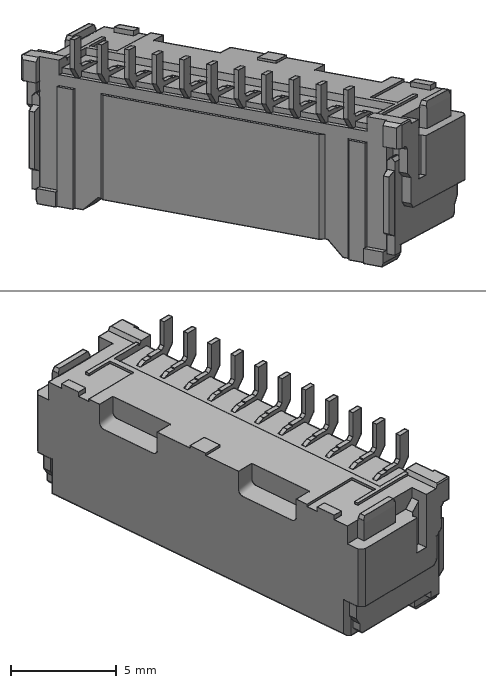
import cadquery as cq


half_length = 10.4
back_y = 6.4
pin_top_z = 8.5

pin_count = 11
pin_pitch = 1.5
pin_width = 0.25
pin_leg_depth = 0.6

core_half = 9.48
core_bottom_z = 0.75
core_back_chamfer = 0.25
core_bottom_chamfer = 0.12
frame_y = 0.37
raised_y = 0.19
pad_y = 0.06

end_deck_z = 6.99
rear_deck_z = 7.11
front_deck_z = 6.75
ledge_z = 6.5
cap_z = 7.22
tab_z = 7.24

well_half = 8.42
ledge_back_y = 0.67
rear_deck_y = 2.93
rear_deck_half = 6.93
deck_strip_y = 3.25
divider_width = 0.2
divider_back_y = 4.72

wall_x = 9.92
wall_top_z = 6.0
plate_bottom_z = 2.77
shoulder_y = 1.85
cap_back_y = 1.16
cap_chamfer = 0.19


def block(x_min, x_max, y_min, y_max, z_min, z_max):
    size = (x_max - x_min, y_max - y_min, z_max - z_min)
    return cq.Workplane("XY").box(*size, centered=False).translate((x_min, y_min, z_min))


def side_prism(outline, x_min, x_max):
    """Extrude a (Y, Z) outline along X."""
    return cq.Workplane("YZ", origin=(x_min, 0, 0)).polyline(outline).close().extrude(x_max - x_min)


def front_prism(outline, y_min, y_max):
    """Extrude an (X, Z) outline along Y."""
    return cq.Workplane("XZ", origin=(0, y_max, 0)).polyline(outline).close().extrude(y_max - y_min)


def plan_prism(outline, z_min, z_max):
    """Extrude an (X, Y) outline along Z."""
    return cq.Workplane("XY", origin=(0, 0, z_min)).polyline(outline).close().extrude(z_max - z_min)


def both_ends(right_half):
    return right_half.union(right_half.mirror("YZ"))


def make_core():
    core = block(-core_half, core_half, frame_y, back_y, core_bottom_z, plate_bottom_z)
    core = core.edges("|Z and >Y").chamfer(core_back_chamfer)
    core = core.faces(">Y").edges("<Z").chamfer(core_bottom_chamfer)
    core = core.union(block(-core_half, core_half, frame_y, back_y, plate_bottom_z, end_deck_z))
    core = core.cut(block(-well_half, well_half, 0, rear_deck_y, front_deck_z, pin_top_z))
    return core.cut(block(-well_half, well_half, 0, ledge_back_y, ledge_z, pin_top_z))


def make_rear_deck():
    """Raised deck behind the pins, with a slightly leaning front face."""
    lean = 0.06

    def slab(half, slab_back_y):
        outline = [
            (rear_deck_y - lean, front_deck_z),
            (rear_deck_y, rear_deck_z),
            (slab_back_y, rear_deck_z),
            (slab_back_y, front_deck_z),
        ]
        return side_prism(outline, -half, half)

    return slab(rear_deck_half, back_y).union(slab(well_half, deck_strip_y))


def make_divider():
    return block(well_half, well_half + divider_width, cap_back_y, divider_back_y, ledge_z, rear_deck_z)


def make_rear_tabs():
    center_half, center_depth = 0.5, 1.0
    end_x_min, end_x_max, end_depth = 7.57, 8.65, 0.5
    end_tab = block(end_x_min, end_x_max, back_y - end_depth, back_y, ledge_z, tab_z)
    center_tab = block(-center_half, center_half, back_y - center_depth, back_y, ledge_z, tab_z)
    return both_ends(end_tab).union(center_tab)


def make_rear_notch():
    """Pocket in the rear top edge; its floor falls to the back and curves up into the side walls."""
    inner_x, outer_x, depth, floor_radius = 2.58, 6.25, 0.94, 0.3
    floor_front_z, floor_back_z = 6.0, 5.82
    outline = [
        (back_y - depth, tab_z),
        (back_y - depth, floor_front_z),
        (back_y, floor_back_z),
        (back_y, tab_z),
    ]
    pocket = side_prism(outline, inner_x, outer_x)
    return pocket.faces("<Z").edges("<X or >X").fillet(floor_radius)


def make_front_relief():
    """Ribs and central panel on the front wall; only the right rib has a sloped inner side."""
    relief_top_z = 5.95
    panel_base_half, panel_half = 6.14, 5.9
    rib_inner_base, rib_inner = 7.38, 7.55
    panel = [(-panel_base_half, frame_y), (-panel_half, raised_y),
             (panel_half, raised_y), (panel_base_half, frame_y)]
    right_rib = [(rib_inner_base, frame_y), (rib_inner, raised_y),
                 (well_half, raised_y), (well_half, frame_y)]
    left_rib = block(-well_half, -rib_inner, raised_y, frame_y, 0, relief_top_z)
    ribs = left_rib.union(plan_prism(right_rib, 0, relief_top_z))
    return ribs.union(plan_prism(panel, core_bottom_z, relief_top_z))


def make_foot():
    """Foot under the front wall, with a pad on its outer front face."""
    slope_bottom_x, slope_top_x = 7.11, 6.28
    foot_back_y, back_slope_y = 1.66, 1.98
    slope_z = 0.6
    edge_height, edge_x, edge_y = 0.19, 0.06, 0.19
    front_outline = [
        (slope_bottom_x, 0),
        (core_half - edge_x, 0),
        (core_half, edge_height),
        (core_half, core_bottom_z + 0.2),
        (slope_top_x, core_bottom_z + 0.2),
        (slope_top_x, core_bottom_z),
    ]
    side_outline = [
        (frame_y, 0),
        (foot_back_y - edge_y, 0),
        (foot_back_y, edge_height),
        (foot_back_y, slope_z),
        (back_slope_y, slope_z + back_slope_y - foot_back_y),
        (frame_y, slope_z + back_slope_y - foot_back_y),
    ]
    foot = front_prism(front_outline, frame_y, back_slope_y)
    foot = foot.intersect(side_prism(side_outline, 0, half_length))
    pad = front_prism(front_outline, pad_y, frame_y)
    return foot.union(pad.intersect(block(well_half, half_length, 0, back_y, 0, core_bottom_z)))


def make_inner_wall():
    """Inner end wall, with a low front lip under the corner cap."""
    front_y, lip_back_y = 0.42, 0.98
    lip_top_z, lip_chamfer = 5.37, 0.17
    lip_bottom_z, wall_bottom_z = 0.56, 0.94
    outline = [
        (lip_back_y, wall_top_z),
        (lip_back_y, wall_bottom_z),
        (5.85, wall_bottom_z),
        (6.01, 1.12),
        (6.01, 1.52),
        (6.26, 1.91),
        (6.26, wall_top_z),
    ]
    lip = [
        (core_half, lip_bottom_z),
        (wall_x, lip_bottom_z),
        (wall_x, lip_top_z - lip_chamfer),
        (wall_x - lip_chamfer, lip_top_z),
        (core_half + lip_chamfer, lip_top_z),
        (core_half, lip_top_z - lip_chamfer),
    ]
    wall = side_prism(outline, core_half, wall_x)
    return wall.union(front_prism(lip, front_y, lip_back_y))


def make_outer_wall():
    """Outer end plate with a vertical slot, plus the ramp behind the front corner."""
    back_chamfer = 0.25
    slot_back_y, slot_bottom_z, slot_corner = 2.5, 4.04, 0.2
    outline = [
        (back_y, plate_bottom_z),
        (back_y, wall_top_z),
        (shoulder_y, wall_top_z),
        (shoulder_y, end_deck_z),
        (cap_back_y, end_deck_z),
        (cap_back_y, wall_top_z),
        (0.62, wall_top_z),
        (0.8, 5.8),
        (0.8, 4.6),
        (1.1, 4.3),
        (1.1, 3.02),
        (1.3, plate_bottom_z),
    ]
    slot = [
        (wall_x, shoulder_y),
        (half_length, shoulder_y),
        (half_length, slot_back_y),
        (wall_x + slot_corner, slot_back_y),
        (wall_x, slot_back_y - slot_corner),
    ]
    ramp_back_y = slot_back_y - slot_corner
    ramp_rise = ramp_back_y - shoulder_y
    ramp = [(ramp_back_y, wall_top_z), (shoulder_y, wall_top_z), (shoulder_y, wall_top_z + ramp_rise)]
    backing = block(core_half, wall_x, slot_back_y, back_y, plate_bottom_z, wall_top_z)
    wall = side_prism(outline, wall_x, half_length)
    wall = wall.edges("|Z and >Y and >X").chamfer(back_chamfer)
    wall = wall.cut(plan_prism(slot, slot_bottom_z, wall_top_z))
    shoulder = block(core_half, wall_x, cap_back_y, shoulder_y, wall_top_z, end_deck_z)
    return wall.union(backing).union(shoulder).union(side_prism(ramp, core_half, wall_x))


def make_corner_cap():
    """Raised cap on the front corner; it overhangs the end walls and is bevelled outside."""
    back_slope, side_slope = 0.12, 0.06
    bevel_z = cap_z - cap_chamfer
    side_outline = [
        (pad_y, wall_top_z),
        (pad_y, bevel_z),
        (pad_y + cap_chamfer, cap_z),
        (cap_back_y - back_slope, cap_z),
        (cap_back_y, end_deck_z),
        (cap_back_y, wall_top_z),
    ]
    plan_outline = [
        (well_half, frame_y),
        (core_half, frame_y),
        (core_half, pad_y),
        (half_length - cap_chamfer, pad_y),
        (half_length, pad_y + cap_chamfer),
        (half_length, cap_back_y),
        (well_half, cap_back_y),
    ]
    front_outline = [
        (well_half, wall_top_z),
        (well_half, cap_z),
        (half_length - side_slope, cap_z),
        (half_length, cap_z - side_slope),
        (half_length, wall_top_z),
    ]
    square_outline = [(frame_y, wall_top_z), (frame_y, cap_z)] + side_outline[3:]
    overhang = side_prism(side_outline, core_half, half_length)
    cap = overhang.union(side_prism(square_outline, well_half, core_half))
    cap = cap.intersect(plan_prism(plan_outline, wall_top_z, cap_z))
    return cap.intersect(front_prism(front_outline, 0, cap_back_y))


def make_fitting():
    """Hold-down fitting: a tab above the end wall and a tongue in front of it."""
    x_min, x_max, edge_taper = core_half, 9.9, 0.06
    tab_front_y, tab_back_y, tab_top_z = 3.45, 5.68, 7.32
    corner_y, corner_z, taper_z = 0.1, 0.2, 6.95
    tab = [
        (tab_front_y, wall_top_z),
        (tab_front_y, tab_top_z - corner_z),
        (tab_front_y + corner_y, tab_top_z),
        (tab_back_y - corner_y, tab_top_z),
        (tab_back_y, tab_top_z - corner_z),
        (tab_back_y, wall_top_z),
    ]
    tongue_root_y, tongue_bottom_z, tongue_top_z, tongue_corner = 0.42, 1.52, 4.76, 0.2
    tongue = [
        (tongue_root_y, tongue_bottom_z),
        (0, tongue_bottom_z + tongue_corner),
        (0, tongue_top_z - tongue_corner),
        (tongue_root_y, tongue_top_z),
    ]
    tab_section = [
        (x_min, wall_top_z),
        (x_min, taper_z),
        (x_min + edge_taper, tab_top_z),
        (x_max - edge_taper, tab_top_z),
        (x_max, taper_z),
        (x_max, wall_top_z),
    ]
    tongue_section = [
        (x_min, tongue_root_y),
        (x_min + edge_taper, 0),
        (x_max - edge_taper, 0),
        (x_max, tongue_root_y),
    ]
    tab_solid = side_prism(tab, x_min, x_max).intersect(front_prism(tab_section, tab_front_y, tab_back_y))
    tongue_solid = side_prism(tongue, x_min, x_max)
    tongue_solid = tongue_solid.intersect(plan_prism(tongue_section, tongue_bottom_z, tongue_top_z))
    return tab_solid.union(tongue_solid)


def make_pin(x_center):
    """Pin whose tail rises out of the deck and bends up at the front."""
    tail_back_y, tail_slope_y, tail_step_y = 2.27, 1.9, 1.52
    tail_low_z, tail_top_z = 6.93, 6.99
    heel_y, heel_z = 0.77, 7.15
    toe_z, toe_y = 7.05, 0.45
    outline = [
        (tail_back_y, front_deck_z),
        (tail_slope_y, tail_low_z),
        (tail_step_y, tail_low_z),
        (tail_step_y, tail_top_z),
        (heel_y, tail_top_z),
        (pin_leg_depth, heel_z),
        (pin_leg_depth, pin_top_z),
        (0, pin_top_z),
        (0, toe_z),
        (toe_y, ledge_z),
        (tail_back_y, ledge_z),
    ]
    return side_prism(outline, x_center - pin_width / 2, x_center + pin_width / 2)


end_parts = make_divider()
for part in (make_foot(), make_inner_wall(), make_outer_wall(), make_corner_cap(), make_fitting()):
    end_parts = end_parts.union(part)

result = make_core().union(make_rear_deck()).union(make_rear_tabs()).cut(both_ends(make_rear_notch()))
result = result.union(make_front_relief()).union(both_ends(end_parts))
for index in range(pin_count):
    result = result.union(make_pin((index - (pin_count - 1) / 2) * pin_pitch))